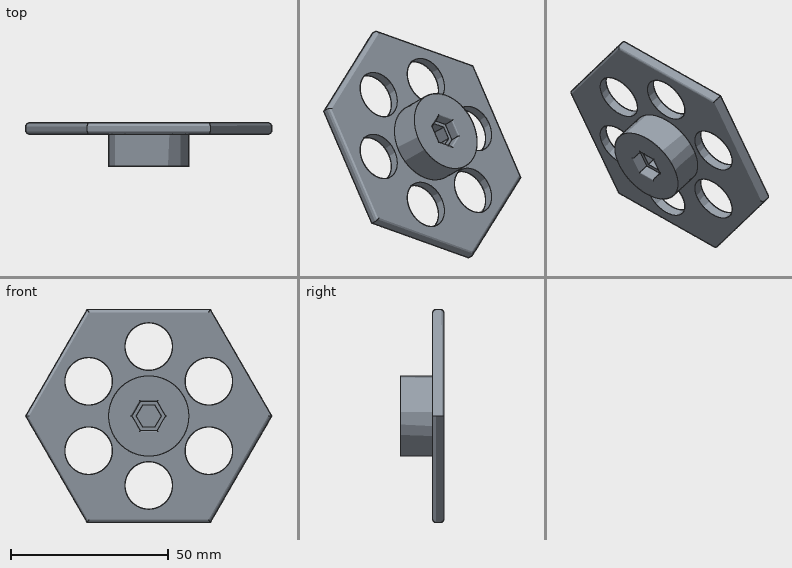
import cadquery as cq
import math

plate_corner_width = 77.95
plate_thickness = 3.75
edge_radius = 1.25

boss_diameter = 25.4
boss_height = 10.1

recess_flats = 62.35
recess_depth = 0.6

hole_count = 6
hole_diameter = 15.0
hole_ring_radius = 22.0
first_hole_angle = 30.0

socket_flats = 9.2
socket_depth = 3.6
mouth_radius = 0.5
inner_socket_flats = 6.85
inner_socket_depth = boss_height


def corner_width(flats):
    """Width across the corners of a regular hexagon from its width across flats."""
    return flats / math.cos(math.pi / 6)


def hex_prism(across_corners, start, depth):
    """Hexagonal prism running from Y = start towards +Y."""
    plane = cq.Workplane("XZ", origin=(0, start, 0))
    return plane.polygon(6, across_corners).extrude(-depth)


def make_plate():
    plate = hex_prism(plate_corner_width, 0, plate_thickness)
    return plate.faces("<Y or >Y").edges().fillet(edge_radius)


def make_recess():
    recess_floor = plate_thickness - recess_depth
    return hex_prism(corner_width(recess_flats), recess_floor, recess_depth)


def make_boss():
    return cq.Workplane("XZ").circle(boss_diameter / 2).extrude(boss_height)


def make_holes():
    centres = cq.Workplane("XZ").polarArray(hole_ring_radius, first_hole_angle, 360, hole_count)
    return centres.circle(hole_diameter / 2).extrude(-plate_thickness)


def make_socket():
    outer = hex_prism(corner_width(socket_flats), -boss_height, socket_depth)
    inner = hex_prism(corner_width(inner_socket_flats), -boss_height, inner_socket_depth)
    return outer.union(inner)


def round_socket_mouth(part):
    """Round the edges where the socket opens through the boss face."""
    return part.faces("<Y").edges("%LINE").fillet(mouth_radius)


part = make_plate().cut(make_recess()).union(make_boss()).cut(make_holes()).cut(make_socket())
result = round_socket_mouth(part)